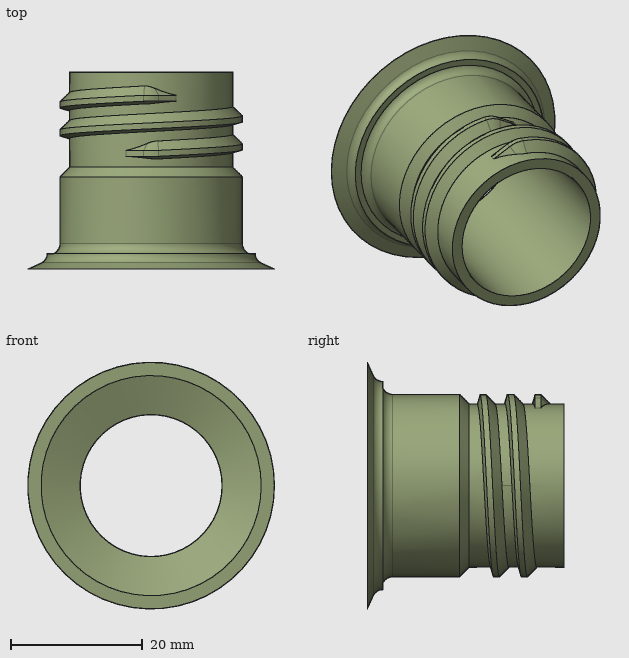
import cadquery as cq
import math

rim_radius = 18.73
total_length = 29.9
neck_radius = 12.4
body_radius = 13.85
bore_radius = 10.75

funnel_radius = 16.7
funnel_depth = 2.15

cone_top_radius = 16.6
cone_top = 0.97
step_radius = 15.8
step_height = 2.35
fillet_end_radius = 14.85
body_start = 3.85

shoulder_start = 14.0
shoulder_end = shoulder_start + body_radius - neck_radius

pitch = 4.25
crest_width = 0.9
upper_flank_run = 1.42
lower_flank_run = 0.4
start_crest_top = 18.0
root_overlap = 0.2
run_out_start = 1.12
run_out_bend = 2.25
run_out_tip = 3.9
run_out_angle = 29.5

end_angle = math.degrees(math.asin(run_out_start / body_radius))
thread_turns = 2 - 2 * end_angle / 360
end_crest_top = start_crest_top + pitch * thread_turns
crest_height = math.sqrt(body_radius**2 - run_out_start**2)


def tangent_arc_middle(start, end):
    """Middle of the arc from start to end that leaves start parallel to the axis."""
    dr = end[0] - start[0]
    dy = end[1] - start[1]
    radius = (dr**2 + dy**2) / (2 * dr)
    half_angle = math.atan2(dr, abs(dy))
    return (
        start[0] + radius * (1 - math.cos(half_angle)),
        start[1] + math.copysign(radius * math.sin(half_angle), dy),
    )


def revolved_body():
    step_edge = (step_radius, step_height)
    cone_edge = (cone_top_radius, cone_top)
    fillet_end = (fillet_end_radius, step_height)
    body_edge = (body_radius, body_start)
    return (
        cq.Workplane("XY")
        .lineTo(rim_radius, 0)
        .lineTo(*cone_edge)
        .threePointArc(tangent_arc_middle(step_edge, cone_edge), step_edge)
        .lineTo(*fillet_end)
        .threePointArc(tangent_arc_middle(body_edge, fillet_end), body_edge)
        .lineTo(body_radius, shoulder_start)
        .lineTo(neck_radius, shoulder_end)
        .lineTo(neck_radius, total_length)
        .lineTo(0, total_length)
        .close()
        .revolve(360, (0, 0, 0), (0, 1, 0))
    )


def opening():
    return (
        cq.Workplane("XY")
        .lineTo(funnel_radius, 0)
        .lineTo(bore_radius, funnel_depth)
        .lineTo(bore_radius, total_length)
        .lineTo(0, total_length)
        .close()
        .revolve(360, (0, 0, 0), (0, 1, 0))
    )


def thread_section():
    """Section points (radial offset from the crest, axial offset from the crest top)."""
    height = body_radius - neck_radius
    depth = height + root_overlap
    spread = depth / height
    return [
        (0, 0),
        (-depth, upper_flank_run * spread),
        (-depth, -crest_width - lower_flank_run * spread),
        (0, -crest_width),
    ]


def helical_thread():
    """Right-handed ridge, swept about Z and then turned onto the Y axis."""
    path = cq.Wire.makeHelix(pitch, pitch * thread_turns, body_radius)
    points = [(body_radius + radial, axial) for radial, axial in thread_section()]
    ridge = cq.Workplane("XZ").polyline(points).close().sweep(cq.Workplane(path), isFrenet=True)
    return (
        ridge.rotate((0, 0, 0), (0, 0, 1), end_angle - 90)
        .rotate((0, 0, 0), (1, 0, 0), -90)
        .translate((0, start_crest_top, 0))
    )


def run_out(crest_top):
    """Thread end leaving towards -X: the section bends down and sinks into the neck."""
    rise = math.radians(end_angle)
    fall = math.radians(run_out_angle)
    middle = (fall - rise) / 2
    bend_radius = run_out_bend / (math.sin(rise) + math.sin(fall))
    centre_x = run_out_start - bend_radius * math.sin(rise)
    centre_z = crest_height - bend_radius * math.cos(rise)

    def on_bend(angle):
        return (centre_x - bend_radius * math.sin(angle), centre_z + bend_radius * math.cos(angle))

    bend_end = on_bend(fall)
    tip_z = bend_end[1] - (run_out_tip + bend_end[0]) * math.tan(fall)
    path = (
        cq.Workplane("XZ", origin=(0, crest_top, 0))
        .moveTo(run_out_start, crest_height)
        .threePointArc(on_bend(middle), bend_end)
        .lineTo(-run_out_tip, tip_z)
    )
    outward = (math.sin(rise), 0, math.cos(rise))
    travel = (-math.cos(rise), 0, math.sin(rise))
    start_plane = cq.Plane((run_out_start, crest_top, crest_height), outward, travel)
    axial_sign = start_plane.yDir.y
    points = [(radial, axial_sign * axial) for radial, axial in thread_section()]
    return cq.Workplane(start_plane).polyline(points).close().sweep(path)


lower_run_out = run_out(start_crest_top)
upper_run_out = run_out(end_crest_top).mirror("YZ")

result = (
    revolved_body()
    .union(helical_thread())
    .union(lower_run_out)
    .union(upper_run_out)
    .cut(opening())
)